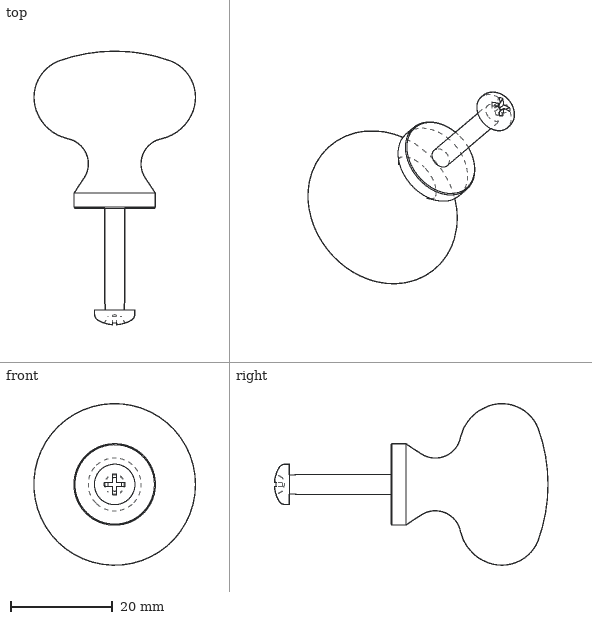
import cadquery as cq
import math


head_radius = 4.0
dome_radius = 3.3
dome_y = 0.9
shoulder_y = 2.05
head_back_y = 2.95
neck_radius = 1.9
neck_end_y = 3.95
shank_radius = 2.0
shank_start_y = 4.4

slot_width = 0.8
recess_radius = 2.25
recess_floor_radius = 1.35
recess_wall_depth = 1.6
recess_tip_depth = 2.05

base_y = 23.0
base_radius = 8.05
base_chamfer = 0.2
base_rim_y = 25.95
cone_end_radius = 6.05
cone_end_y = 28.95
waist_fillet = 5.0
bulb_start_radius = 9.35
belly_radius = 15.5
belly_y = 42.2
bulge_radius = 15.94
bulge_y = 44.7
crown_radius = 11.05
crown_y = 52.0
top_y = 53.95


def dome_height(chord_radius, sagitta, radius):
    """Height at a radius, above the edge plane, of a spherical cap."""
    sphere = (chord_radius ** 2 + sagitta ** 2) / (2 * sagitta)
    return math.sqrt(sphere ** 2 - radius ** 2) - (sphere - sagitta)


def turn(profile):
    """Revolve a closed (radius, y) profile about the Y axis."""
    return profile.close().revolve(360, (0, 0, 0), (0, 1, 0))


def make_recess():
    """Four-armed driver recess with tapered arm ends and a conical floor."""
    cone = turn(
        cq.Workplane("XY")
        .lineTo(recess_radius, 0)
        .lineTo(recess_floor_radius, recess_wall_depth)
        .lineTo(0, recess_tip_depth)
    )
    arm_length = 2 * recess_radius
    arms_center = (0, recess_tip_depth / 2, 0)
    arm_x = cq.Workplane("XY").box(arm_length, recess_tip_depth, slot_width)
    arm_z = cq.Workplane("XY").box(slot_width, recess_tip_depth, arm_length)
    return arm_x.union(arm_z).translate(arms_center).intersect(cone)


def make_screw():
    """Pan-head screw whose shank ends against the knob base."""
    crown_mid_radius = dome_radius / 2
    crown_mid_y = dome_y - dome_height(dome_radius, dome_y, crown_mid_radius)
    blank = turn(
        cq.Workplane("XY")
        .threePointArc((crown_mid_radius, crown_mid_y), (dome_radius, dome_y))
        .tangentArcPoint((head_radius, shoulder_y), relative=False)
        .lineTo(head_radius, head_back_y)
        .lineTo(neck_radius, head_back_y)
        .lineTo(neck_radius, neck_end_y)
        .lineTo(shank_radius, shank_start_y)
        .lineTo(shank_radius, base_y)
        .lineTo(0, base_y)
    )
    return blank.cut(make_recess())


def make_knob():
    """Flared base, hollow waist and rounded bulb with a shallow crown."""
    cone_angle = math.atan2(base_radius - cone_end_radius, cone_end_y - base_rim_y)
    waist_center_y = cone_end_y + waist_fillet * math.sin(cone_angle)
    waist_center_radius = cone_end_radius + waist_fillet * math.cos(cone_angle)
    waist_radius = waist_center_radius - waist_fillet
    bulb_start_y = waist_center_y + math.sqrt(
        waist_fillet ** 2 - (waist_center_radius - bulb_start_radius) ** 2
    )
    crown_mid_radius = crown_radius / 2
    crown_mid_y = crown_y + dome_height(crown_radius, top_y - crown_y, crown_mid_radius)

    rim_start = (belly_radius, belly_y)
    rim_tangent_point = (bulge_radius, bulge_y)
    crown_edge = (crown_radius, crown_y)
    rim_arc = cq.Edge.makeThreePointArc(
        cq.Vector(*rim_start), cq.Vector(*rim_tangent_point), cq.Vector(*crown_edge)
    )
    belly_arc = cq.Edge.makeTangentArc(
        rim_arc.startPoint(), rim_arc.tangentAt(0) * -1, cq.Vector(bulb_start_radius, bulb_start_y)
    )
    belly_mid = belly_arc.positionAt(0.5)
    return turn(
        cq.Workplane("XY")
        .moveTo(0, base_y)
        .lineTo(base_radius - base_chamfer, base_y)
        .lineTo(base_radius, base_y + base_chamfer)
        .lineTo(base_radius, base_rim_y)
        .lineTo(cone_end_radius, cone_end_y)
        .threePointArc((waist_radius, waist_center_y), (bulb_start_radius, bulb_start_y))
        .threePointArc((belly_mid.x, belly_mid.y), rim_start)
        .threePointArc(rim_tangent_point, crown_edge)
        .threePointArc((crown_mid_radius, crown_mid_y), (0, top_y))
    )


screw = make_screw()
knob = make_knob()
result = cq.Compound.makeCompound([knob.val(), screw.val()])